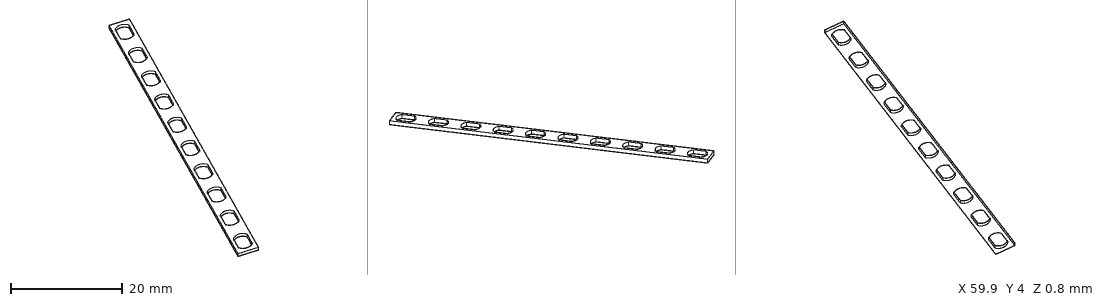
import cadquery as cq

strip_length = 59.9
strip_width = 4.0
strip_thickness = 0.8

hole_count = 10
end_hole_offset = 2.5
hole_diameter = 3.6
hole_across_flats = 2.7
hole_pitch = (strip_length - 2 * end_hole_offset) / (hole_count - 1)


def make_hole_cutter():
    """Cylinder trimmed by two flats, as tall as the strip is thick."""
    cylinder = cq.Workplane("XY").circle(hole_diameter / 2).extrude(strip_thickness)
    flats = cq.Workplane("XY").rect(hole_diameter, hole_across_flats).extrude(strip_thickness)
    return cylinder.intersect(flats)


result = cq.Workplane("XY").rect(strip_length, strip_width).extrude(strip_thickness)

hole_cutter = make_hole_cutter()
first_hole_x = end_hole_offset - strip_length / 2
for index in range(hole_count):
    hole_x = first_hole_x + index * hole_pitch
    result = result.cut(hole_cutter.translate((hole_x, 0, 0)))